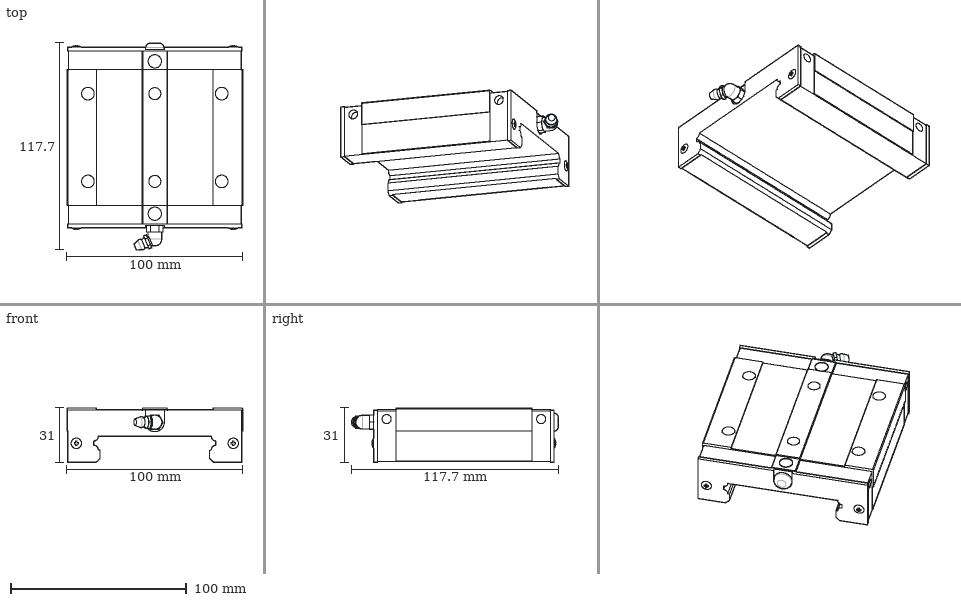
import cadquery as cq
import math

TOTAL_LENGTH = 117.7

BODY_WIDTH = 100.0
BODY_LENGTH = 77.2
BODY_TOP = 31.0
BODY_BOTTOM = 0.7
BODY_CHAMFER = 0.6
SKIRT_WIDTH = 99.1
FLANGE_BOTTOM = 17.9
RECESS_FLOOR = 30.1
RECESS_WIDTH = 66.4
CENTER_PAD_WIDTH = 13.7
CENTER_PAD_BASE_WIDTH = 14.5

PLATE_WIDTH = 99.1
PLATE_TOP = 29.7
PLATE_THICKNESS = 2.1
PLATE_OVERHANG = 0.4
END_LENGTH = 102.6
CAP_WIDTH = PLATE_WIDTH - 2 * PLATE_OVERHANG
CAP_TOP = PLATE_TOP - PLATE_OVERHANG
CAP_LENGTH = END_LENGTH - 2 * PLATE_THICKNESS
CAP_STRIP_TOP = RECESS_FLOOR

RAIL_ROOF = 14.7
RAIL_HALF_ROOF = 32.1
GROOVE_HALF_BOTTOM = 34.6
GROOVE_HEIGHT = 11.0
GROOVE_FLAT = 2.4
LIP_HALF = 31.1
LIP_TOP = 6.8
LIP_CHAMFER = 2.2

HOLE_PITCH_X = 38.0
HOLE_PITCH_Y = 49.9
SIDE_HOLE_DIAMETER = 7.2
CENTER_HOLE_DIAMETER = 6.8
HOLE_DEPTH = 9.4
DRILL_POINT_ANGLE = 118.0
PORT_Y = 43.3
TOP_PORT_DIAMETER = 7.5
TOP_PORT_DEPTH = 0.4
SIDE_PORT_Y = 43.9
SIDE_PORT_Z = 24.6
SIDE_PORT_DIAMETER = 5.2
SIDE_PORT_DEPTH = 4.7

FITTING_Z = 22.8
SLOT_RADIUS = 5.4
SLOT_DEPTH = 1.4
PLUG_RADIUS = 5.2
PLUG_HEIGHT = 3.8
PLUG_FILLET = 2.6
ELBOW_HEX_FLATS = 8.2
ELBOW_HEX_LENGTH = 3.9
ELBOW_RADIUS = 4.0
NOZZLE_ANGLE = 22.5
NOZZLE_LENGTH = 12.1
NOZZLE_TIP_RADIUS = 1.9
NOZZLE_SHANK_RADIUS = 3.1
NOZZLE_SHOULDER_RADIUS = 3.4
NOZZLE_NECK_RADIUS = 2.5
NOZZLE_NECK = 7.1
NOZZLE_BEAD_RADIUS = 3.2
NOZZLE_BEAD = 8.2
NOZZLE_TAPER_RADIUS = 3.0
NOZZLE_TAPER_START = 9.2
COLLAR_START = 3.5
COLLAR_END = 5.2
COLLAR_FLATS = 7.1

SLOT_FLOOR = END_LENGTH / 2 - SLOT_DEPTH
TIP_REACH = (NOZZLE_LENGTH * math.sin(math.radians(NOZZLE_ANGLE))
             + NOZZLE_TIP_RADIUS * math.cos(math.radians(NOZZLE_ANGLE)))
BALL_Y = SLOT_FLOOR + PLUG_HEIGHT - TOTAL_LENGTH + TIP_REACH

SCREW_X = 44.6
SCREW_Z = 10.8
SCREW_RADIUS = 3.0
SCREW_HEIGHT = 1.0
CROSS_LENGTH = 2.4
CROSS_WIDTH = 0.7
CROSS_DEPTH = 0.6


def centered_box(width, length, bottom, top):
    box = cq.Workplane("XY").box(width, length, top - bottom, centered=(True, True, False))
    return box.translate((0, 0, bottom))


def rail_opening():
    """Channel along Y; rounded lobes flank a flat-bottomed groove in each wall."""
    half_flat = GROOVE_FLAT / 2
    roof_gap = RAIL_ROOF - GROOVE_HEIGHT
    lobe_width = GROOVE_HALF_BOTTOM - RAIL_HALF_ROOF
    lobe_height = roof_gap - half_flat
    arc_x = GROOVE_HALF_BOTTOM - lobe_width * math.sin(math.radians(45))
    arc_rise = roof_gap - lobe_height * math.sin(math.radians(45))
    half_opening = (
        cq.Workplane("XZ")
        .moveTo(0, RAIL_ROOF)
        .lineTo(RAIL_HALF_ROOF, RAIL_ROOF)
        .threePointArc((arc_x, GROOVE_HEIGHT + arc_rise),
                       (GROOVE_HALF_BOTTOM, GROOVE_HEIGHT + half_flat))
        .lineTo(GROOVE_HALF_BOTTOM, GROOVE_HEIGHT - half_flat)
        .threePointArc((arc_x, GROOVE_HEIGHT - arc_rise),
                       (RAIL_HALF_ROOF, GROOVE_HEIGHT - roof_gap))
        .lineTo(LIP_HALF, LIP_TOP)
        .lineTo(LIP_HALF, LIP_CHAMFER)
        .lineTo(LIP_HALF + LIP_CHAMFER, 0)
        .lineTo(0, 0)
        .close()
        .extrude(END_LENGTH / 2, both=True)
    )
    return half_opening.union(half_opening.mirror("YZ"))


def center_pad(length, bottom, top):
    """Raised strip along Y with leaning flanks."""
    half_base = CENTER_PAD_BASE_WIDTH / 2
    half_top = CENTER_PAD_WIDTH / 2
    profile = cq.Workplane("XZ").polyline(
        [(-half_base, bottom), (half_base, bottom), (half_top, top), (-half_top, top)]
    )
    return profile.close().extrude(length / 2, both=True)


def carriage_body():
    flanges = centered_box(BODY_WIDTH, BODY_LENGTH, FLANGE_BOTTOM, BODY_TOP)
    flanges = flanges.faces(">Z").edges("|Y").chamfer(BODY_CHAMFER)
    skirt = centered_box(SKIRT_WIDTH, BODY_LENGTH, BODY_BOTTOM, FLANGE_BOTTOM)
    recess = centered_box(RECESS_WIDTH, BODY_LENGTH, RECESS_FLOOR, BODY_TOP)
    pad = center_pad(BODY_LENGTH, RECESS_FLOOR, BODY_TOP)
    return flanges.union(skirt).cut(recess.cut(pad))


def end_plates():
    plates = centered_box(PLATE_WIDTH, END_LENGTH, 0, PLATE_TOP)
    return plates.cut(centered_box(PLATE_WIDTH, CAP_LENGTH, 0, PLATE_TOP))


def mounting_hole(x, y, diameter):
    radius = diameter / 2
    point = radius / math.tan(math.radians(DRILL_POINT_ANGLE / 2))
    profile = (
        cq.Workplane("XZ")
        .polyline([(0, 0), (radius, 0), (radius, -HOLE_DEPTH), (0, -HOLE_DEPTH - point)])
        .close()
    )
    return profile.revolve(360, (0, 0), (0, 1)).translate((x, y, BODY_TOP))


def plate_slot(side):
    """Round-bottomed pocket, open at the top, in the plate at the +Y or -Y end."""
    slot = (
        cq.Workplane("XZ")
        .moveTo(-SLOT_RADIUS, PLATE_TOP)
        .lineTo(-SLOT_RADIUS, FITTING_Z)
        .threePointArc((0, FITTING_Z - SLOT_RADIUS), (SLOT_RADIUS, FITTING_Z))
        .lineTo(SLOT_RADIUS, PLATE_TOP)
        .close()
        .extrude(-SLOT_DEPTH)
        .translate((0, SLOT_FLOOR, 0))
    )
    return slot if side > 0 else slot.mirror("XZ")


def plug():
    """Domed plug standing in the rear slot."""
    dome = cq.Workplane("XZ").circle(PLUG_RADIUS).extrude(-PLUG_HEIGHT)
    dome = dome.faces(">Y").edges().fillet(PLUG_FILLET)
    return dome.translate((0, SLOT_FLOOR, FITTING_Z))


def hexagon(flats, height):
    """Hexagonal prism along +Z with two corners on the X axis."""
    corners = flats / math.cos(math.radians(30))
    return cq.Workplane("XY").polygon(6, corners).extrude(height)


def nozzle():
    """Grease nipple along +Z from the elbow ball center."""
    nipple = (
        cq.Workplane("XZ")
        .lineTo(NOZZLE_SHANK_RADIUS, 0)
        .lineTo(NOZZLE_SHANK_RADIUS, COLLAR_END)
        .lineTo(NOZZLE_SHOULDER_RADIUS, COLLAR_END)
        .lineTo(NOZZLE_NECK_RADIUS, NOZZLE_NECK)
        .threePointArc((NOZZLE_BEAD_RADIUS, NOZZLE_BEAD), (NOZZLE_TAPER_RADIUS, NOZZLE_TAPER_START))
        .lineTo(NOZZLE_TIP_RADIUS, NOZZLE_LENGTH)
        .lineTo(0, NOZZLE_LENGTH)
        .close()
        .revolve(360, (0, 0), (0, 1))
    )
    collar = hexagon(COLLAR_FLATS, COLLAR_END - COLLAR_START).rotate((0, 0, 0), (0, 0, 1), 30)
    collar = collar.translate((0, 0, COLLAR_START))
    return nipple.union(collar)


def grease_fitting():
    """Elbow fitting on the front plate: hexagon, barrel, ball and angled nozzle."""
    root = -SLOT_FLOOR
    elbow = hexagon(ELBOW_HEX_FLATS, ELBOW_HEX_LENGTH)
    elbow = elbow.union(cq.Workplane("XY").circle(ELBOW_RADIUS).extrude(root - BALL_Y))
    elbow = elbow.rotate((0, 0, 0), (1, 0, 0), 90).translate((0, root, 0))
    ball = cq.Workplane("XY").sphere(ELBOW_RADIUS)
    arm = nozzle().rotate((0, 0, 0), (0, 1, 0), -90).rotate((0, 0, 0), (0, 0, 1), NOZZLE_ANGLE)
    head = ball.union(arm).translate((0, BALL_Y, 0))
    return elbow.union(head).translate((0, 0, FITTING_Z))


def screw(x):
    """Domed cross-recess screw head on the front plate."""
    dome_radius = (SCREW_RADIUS ** 2 + SCREW_HEIGHT ** 2) / (2 * SCREW_HEIGHT)
    head = cq.Workplane("XY").circle(SCREW_RADIUS).extrude(SCREW_HEIGHT)
    dome = cq.Workplane("XY").sphere(dome_radius).translate((0, 0, SCREW_HEIGHT - dome_radius))
    head = head.intersect(dome)
    for length, width in ((CROSS_LENGTH, CROSS_WIDTH), (CROSS_WIDTH, CROSS_LENGTH)):
        bar = cq.Workplane("XY").rect(length, width).extrude(CROSS_DEPTH)
        head = head.cut(bar.translate((0, 0, SCREW_HEIGHT - CROSS_DEPTH)))
    return head.rotate((0, 0, 0), (1, 0, 0), 90).translate((x, -END_LENGTH / 2, SCREW_Z))


result = carriage_body()
result = result.union(centered_box(CAP_WIDTH, CAP_LENGTH, PLATE_OVERHANG, CAP_TOP))
result = result.union(center_pad(CAP_LENGTH, CAP_TOP, CAP_STRIP_TOP))
result = result.union(end_plates()).cut(rail_opening())

for y in (-HOLE_PITCH_Y / 2, HOLE_PITCH_Y / 2):
    result = result.cut(mounting_hole(0, y, CENTER_HOLE_DIAMETER))
    for x in (-HOLE_PITCH_X, HOLE_PITCH_X):
        result = result.cut(mounting_hole(x, y, SIDE_HOLE_DIAMETER))

for side in (-1, 1):
    top_port = cq.Workplane("XY").circle(TOP_PORT_DIAMETER / 2).extrude(-TOP_PORT_DEPTH)
    result = result.cut(top_port.translate((0, side * PORT_Y, CAP_STRIP_TOP)))
    side_port = cq.Workplane("YZ").circle(SIDE_PORT_DIAMETER / 2).extrude(SIDE_PORT_DEPTH)
    side_port = side_port.translate((-CAP_WIDTH / 2, side * SIDE_PORT_Y, SIDE_PORT_Z))
    result = result.cut(side_port).cut(side_port.mirror("YZ"))
    result = result.cut(plate_slot(side))
    head = screw(side * SCREW_X)
    result = result.union(head).union(head.mirror("XZ"))

result = result.union(plug()).union(grease_fitting())